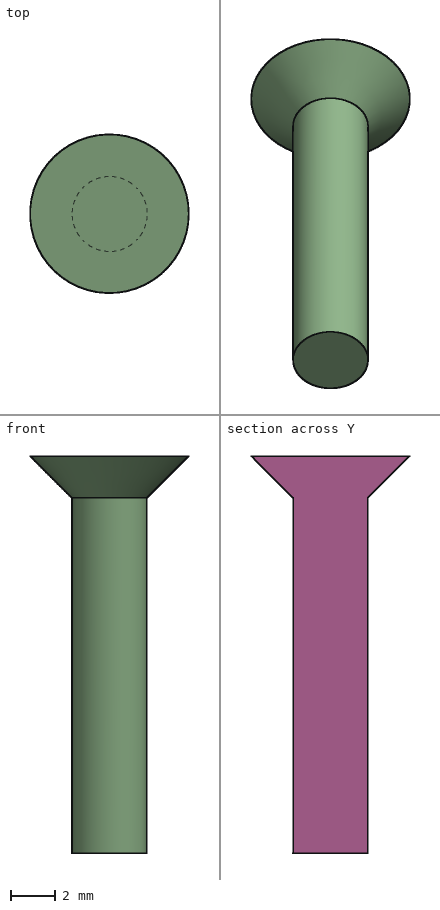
import cadquery as cq

total_length = 18.0
head_diameter = 7.2
shank_diameter = 3.4

head_radius = head_diameter / 2
shank_radius = shank_diameter / 2
head_height = head_radius - shank_radius
shank_length = total_length - head_height

result = (
    cq.Workplane("XZ")
    .lineTo(shank_radius, 0)
    .lineTo(shank_radius, shank_length)
    .lineTo(head_radius, total_length)
    .lineTo(0, total_length)
    .close()
    .revolve(360, (0, 0, 0), (0, 1, 0))
)